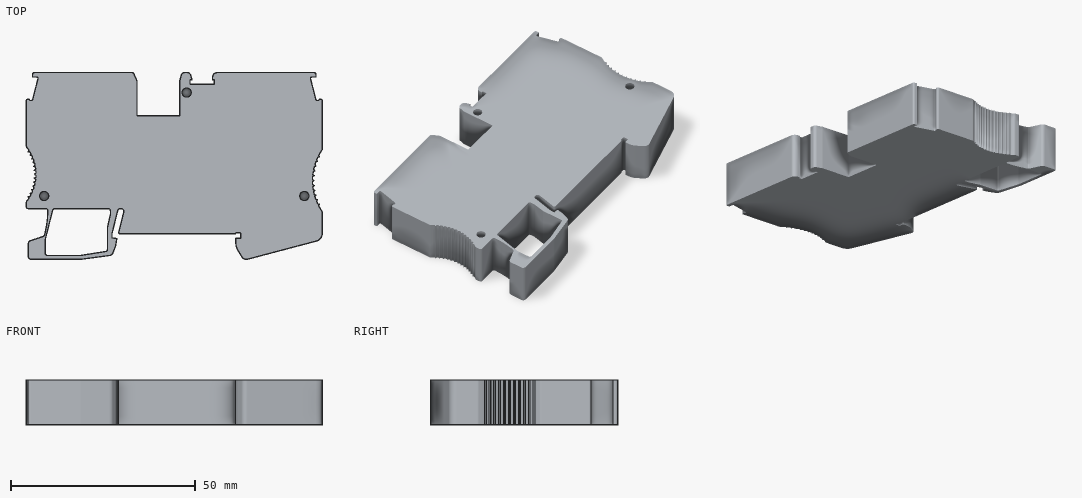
import cadquery as cq
import math

length = 80.2
height = 50.6
thickness = 12.2

shoulder_y = 13.7
rail_y = 6.9
side_top_y = 43.4
lip_y = 49.3

notch_left = 30.1
notch_right = 41.55
notch_floor_y = 38.9
notch_bevel_y = 48.3

marker_left = 44.4
marker_right = 50.9
marker_floor_y = 47.5
marker_barb_y = 48.6
barb = 0.5

foot_left = 0.6
foot_bend_x = 14.8
foot_bend_radius = 4.0
window_floor_y = 1.1
window_left = 5.2
window_right = 22.0

slot_width = 1.7
slot_lean = 1.7
slot_left = 23.25

hook_left = 56.7
hook_throat_x = 58.1
hook_mouth_y = 5.8
hook_relief_y = 7.2

grip_sag = 2.65
grip_end_radius = 0.8
left_grip_low, left_grip_high = 15.55, 30.55
right_grip_low, right_grip_high = 12.9, 29.75
rib_pitch_angle = 5.3
left_rib_count = 13
right_rib_count = 11
rib_height = 0.4
rib_width = 0.6

pin_diameter = 2.5
pin_depth = 2.4
pin_centers = [(4.9, 17.2), (length - 4.9, 17.2), (43.5, 45.15)]


def rounded_outline(corners):
    """Closed wire through (x, y, radius) corners, each rounded by a tangent arc."""
    spans = []
    for i, (x, y, radius) in enumerate(corners):
        corner = cq.Vector(x, y)
        to_previous = (cq.Vector(*corners[i - 1][:2]) - corner).normalized()
        to_next = (cq.Vector(*corners[(i + 1) % len(corners)][:2]) - corner).normalized()
        half_angle = to_previous.getAngle(to_next) / 2
        setback = radius / math.tan(half_angle)
        bisector = (to_previous + to_next).normalized()
        middle = corner + bisector * (radius / math.sin(half_angle) - radius)
        spans.append((corner + to_previous * setback, middle, corner + to_next * setback, radius))

    path = cq.Workplane("XY").moveTo(*spans[0][2].toTuple()[:2])
    for start, middle, end, radius in spans[1:] + spans[:1]:
        path = path.lineTo(*start.toTuple()[:2])
        if radius > 0:
            path = path.threePointArc(middle.toTuple()[:2], end.toTuple()[:2])
    return path.close()


def mirrored(corners):
    """The same corners reflected to the other end, in reverse order."""
    return [(length - x, y, radius) for x, y, radius in reversed(corners)]


left_lip = [
    (1.8, height, 0.6),
    (1.7, lip_y, 0.2),
    (3.3, lip_y, 0.3),
    (1.7, 43.1, 0.25),
    (1.0, 43.1, 0.2),
    (0.8, side_top_y, 0),
    (0, side_top_y, 0.5),
]
latch_foot = [
    (0, shoulder_y, 0.65),
    (5.85, shoulder_y, 0.5),
    (5.8, 10.1, 24.1),
    (4.9, 6.3, 0.4),
    (foot_left, 4.9, 1.0),
    (foot_left, 0, 0.8),
    (foot_bend_x, 0, foot_bend_radius),
    (23.25, 1.1, 1.2),
    (24.2, 3.5, 1.6),
    (24.6, 5.7, 0.25),
    (slot_left, 5.85, 0),
]
flexing_slot = [
    (slot_left, rail_y, 0),
    (slot_left + slot_lean, shoulder_y, 0.7),
    (slot_left + slot_lean + slot_width, shoulder_y, 0.7),
    (slot_left + slot_width, rail_y, 0.4),
]
fixed_hook = [
    (hook_left, rail_y, 0),
    (hook_left, 7.1, 0),
    (hook_throat_x, hook_relief_y, 0.25),
    (hook_throat_x, hook_mouth_y, 0),
    (hook_left, hook_mouth_y, 0.3),
    (hook_left, 3.45, 4.8),
    (58.95, -0.25, 1.45),
    (length, 5.4, 2.25),
]
marker_recess = [
    (marker_right - barb, height, 1.3),
    (marker_right - barb, marker_barb_y, 0),
    (marker_right, marker_barb_y, 0),
    (marker_right, marker_floor_y, 0),
    (marker_left, marker_floor_y, 0),
    (marker_left, marker_barb_y, 0),
    (marker_left + barb, marker_barb_y, 0),
    (marker_left, height, 1.1),
]
conductor_notch = [
    (42.2, height, 1.0),
    (notch_right, notch_bevel_y, 0),
    (notch_right, notch_floor_y, 0),
    (notch_left, notch_floor_y, 0),
    (notch_left, notch_bevel_y, 0),
    (29.0, height, 0.65),
]
body_corners = (
    left_lip + latch_foot + flexing_slot + fixed_hook
    + mirrored(left_lip) + marker_recess + conductor_notch
)

window_corners = [
    (window_left, window_floor_y, 0.5),
    (foot_bend_x, window_floor_y, 0),
    (window_right, 2.25, 0.4),
    (window_right, 8.6, 0),
    (22.8, 12.1, 0),
    (22.8, shoulder_y, 0.5),
    (7.3, shoulder_y, 0.65),
    (window_left, 5.4, 3.2),
]


def grip_cutter(side_x, low_y, high_y, rib_count, inward):
    """Round cutter for one grip, grooved so that it leaves ribs standing on the arc.

    inward is +1 or -1, the X direction from the side into the body.
    """
    half_chord = (high_y - low_y) / 2
    radius = (half_chord ** 2 + grip_sag ** 2) / (2 * grip_sag)
    center_x = side_x + inward * (grip_sag - radius)
    center_y = (low_y + high_y) / 2
    cutter = cq.Workplane("XY").center(center_x, center_y).circle(radius).extrude(thickness)
    rib = (
        cq.Workplane("XY")
        .polyline([
            (radius + rib_height, -rib_width),
            (radius - rib_height, 0),
            (radius + rib_height, rib_width),
        ])
        .close()
        .extrude(thickness)
    )
    facing = 0 if inward > 0 else 180
    for i in range(rib_count):
        angle = facing + (i - (rib_count - 1) / 2) * rib_pitch_angle
        placed_rib = rib.rotate((0, 0, 0), (0, 0, 1), angle).translate((center_x, center_y, 0))
        cutter = cutter.cut(placed_rib)
    return cutter


body = rounded_outline(body_corners).extrude(thickness)
body = body.cut(rounded_outline(window_corners).extrude(thickness))

grips = [
    (0, left_grip_low, left_grip_high, left_rib_count, 1),
    (length, right_grip_low, right_grip_high, right_rib_count, -1),
]
for side_x, low_y, high_y, rib_count, inward in grips:
    body = body.cut(grip_cutter(side_x, low_y, high_y, rib_count, inward))
    for end_y in (low_y, high_y):
        grip_end = cq.selectors.NearestToPointSelector((side_x, end_y, thickness / 2))
        body = body.edges("|Z").edges(grip_end).fillet(grip_end_radius)

pins = (
    cq.Workplane("XY", origin=(0, 0, thickness - pin_depth))
    .pushPoints(pin_centers)
    .circle(pin_diameter / 2)
    .extrude(pin_depth)
)
result = body.cut(pins)